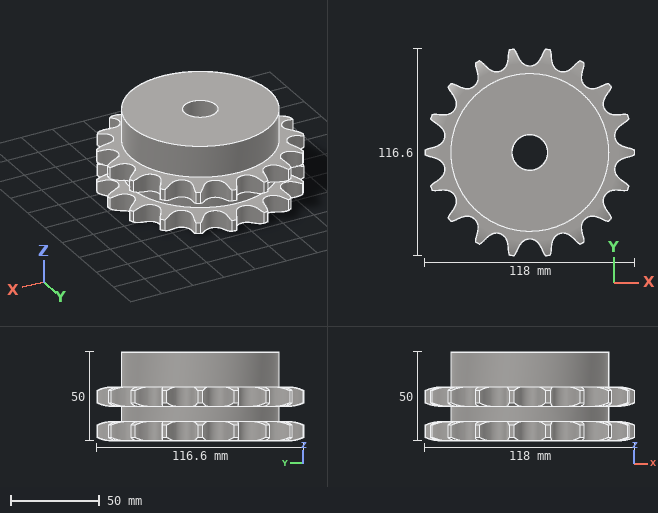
import cadquery as cq
import math


tooth_count = 18
tip_diameter = 118.0
pitch_diameter = 109.7
roller_diameter = 12.0
seat_clearance = 0.077
disc_width = 10.9
disc_spacing = 19.5
rim_drop = 2.0
rim_radius = 19.0
hub_diameter = 89.0
bore_diameter = 20.0
total_height = 50.0

tip_radius = tip_diameter / 2
pitch_radius = pitch_diameter / 2
pitch_angle = 360 / tooth_count
half_pitch_angle = pitch_angle / 2
rim_length = math.sqrt(rim_radius**2 - (rim_radius - rim_drop) ** 2)


def step(start, length, degrees):
    """Point reached from start by going a length in a direction measured from +X."""
    angle = math.radians(degrees)
    return (start[0] + length * math.cos(angle), start[1] + length * math.sin(angle))


def turn(point, degrees):
    """Point turned about the sprocket axis."""
    angle = math.radians(degrees)
    x, y = point
    return (
        x * math.cos(angle) - y * math.sin(angle),
        x * math.sin(angle) + y * math.cos(angle),
    )


def flank_points():
    """Right flank of the gap centred on +Y, from the gap bottom out to the tooth tip.

    Standard roller chain form: seating arc, concave working arc, short straight
    and convex topping arc, each tangent to the next.
    """
    seat_angle = 35 + 60 / tooth_count
    working_angle = 18 - 56 / tooth_count
    straight_angle = seat_angle - working_angle

    roller_center = (0, pitch_radius)
    seat_radius = (1.005 * roller_diameter + seat_clearance) / 2
    working_center_offset = 0.8 * roller_diameter
    working_radius = working_center_offset + seat_radius
    topping_center_offset = 1.4 * roller_diameter

    bottom = step(roller_center, seat_radius, -90)
    seat_middle = step(roller_center, seat_radius, -(90 + seat_angle) / 2)
    seat_end = step(roller_center, seat_radius, -seat_angle)

    working_center = step(roller_center, working_center_offset, 180 - seat_angle)
    working_middle = step(working_center, working_radius, -(seat_angle + straight_angle) / 2)
    working_end = step(working_center, working_radius, -straight_angle)

    topping_center = step(roller_center, topping_center_offset, -half_pitch_angle)
    offset_x = topping_center[0] - working_end[0]
    offset_y = topping_center[1] - working_end[1]
    slope = math.radians(straight_angle)
    straight_length = offset_x * math.sin(slope) + offset_y * math.cos(slope)
    topping_radius = offset_x * math.cos(slope) - offset_y * math.sin(slope)
    straight_end = step(working_end, straight_length, 90 - straight_angle)

    center_distance = math.hypot(*topping_center)
    tip_turn = math.acos(
        (center_distance**2 + tip_radius**2 - topping_radius**2)
        / (2 * center_distance * tip_radius)
    )
    center_direction = math.atan2(topping_center[1], topping_center[0])
    tip = step((0, 0), tip_radius, math.degrees(center_direction + tip_turn))
    tip_direction = math.degrees(
        math.atan2(tip[1] - topping_center[1], tip[0] - topping_center[0])
    )
    topping_start_direction = 180 - straight_angle
    topping_middle = step(
        topping_center, topping_radius, (topping_start_direction + tip_direction) / 2
    )
    return [
        bottom,
        seat_middle,
        seat_end,
        working_middle,
        working_end,
        straight_end,
        topping_middle,
        tip,
    ]


def tooth_outline():
    """Closed outline of all teeth, drawn clockwise from the gap on +Y."""
    right = flank_points()
    left = [(-x, y) for x, y in right]
    tip_middle = step((0, 0), tip_radius, 90 - half_pitch_angle)
    outline = cq.Workplane("XY").moveTo(*right[0])
    for index in range(tooth_count):
        rise_turn = -index * pitch_angle
        fall_turn = rise_turn - pitch_angle
        bottom, seat, seat_end, working, working_end, straight_end, topping, tip = [
            turn(point, rise_turn) for point in right
        ]
        outline = (
            outline.threePointArc(seat, seat_end)
            .threePointArc(working, working_end)
            .lineTo(*straight_end)
            .threePointArc(topping, tip)
        )
        bottom, seat, seat_end, working, working_end, straight_end, topping, tip = [
            turn(point, fall_turn) for point in left
        ]
        outline = (
            outline.threePointArc(turn(tip_middle, rise_turn), tip)
            .threePointArc(topping, straight_end)
            .lineTo(*working_end)
            .threePointArc(working, seat_end)
            .threePointArc(seat, bottom)
        )
    return outline.close()


def rim_blank():
    """Round disc whose two sides curve in towards the tooth tips."""
    flat_radius = tip_radius - rim_length
    half_sweep = math.degrees(math.asin(rim_length / rim_radius)) / 2
    lower_middle = step((flat_radius, rim_radius), rim_radius, half_sweep - 90)
    upper_middle = (lower_middle[0], disc_width - lower_middle[1])
    return (
        cq.Workplane("XZ")
        .lineTo(flat_radius, 0)
        .threePointArc(lower_middle, (tip_radius, rim_drop))
        .lineTo(tip_radius, disc_width - rim_drop)
        .threePointArc(upper_middle, (flat_radius, disc_width))
        .lineTo(0, disc_width)
        .close()
        .revolve(360, (0, 0, 0), (0, 1, 0))
    )


toothed_disc = tooth_outline().extrude(disc_width).intersect(rim_blank())

hub = cq.Workplane("XY").circle(hub_diameter / 2).extrude(total_height)
sprocket = hub
for row_height in (0, disc_spacing):
    sprocket = sprocket.union(toothed_disc.translate((0, 0, row_height)))
bore = cq.Workplane("XY").circle(bore_diameter / 2).extrude(total_height)
result = sprocket.cut(bore)